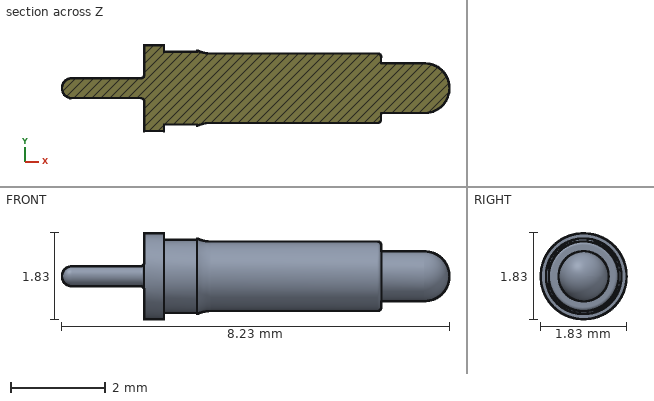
import cadquery as cq
import math


total_length = 8.23

tail_length = 1.75
tail_radius = 0.43 / 2
tail_root_fillet = 0.076

flange_radius = 1.83 / 2
flange_thickness = 0.42

neck_radius = 1.56 / 2
neck_length = 0.70

barb_radius = 1.61 / 2
barb_length = 0.29

barrel_radius = 1.48 / 2
barrel_end_round = 0.076

plunger_radius = 1.066 / 2
plunger_exposed_length = 1.45

flange_start = tail_length
flange_end = flange_start + flange_thickness
barb_start = flange_end + neck_length
barb_end = barb_start + barb_length
barrel_end = total_length - plunger_exposed_length
plunger_tip_start = total_length - plunger_radius

barb_height = barb_radius - barrel_radius
barb_arc_radius = (barb_length**2 + barb_height**2) / (2 * barb_height)


def arc_point(center, radius, angle):
    """Point on a circle at an angle in degrees from +X."""
    radians = math.radians(angle)
    return (center[0] + radius * math.cos(radians), center[1] + radius * math.sin(radians))


def half_profile():
    """Closed outline from the axis to the outer surface, in the XY plane."""
    tail_tip_center = (tail_radius, 0)
    root_center = (flange_start - tail_root_fillet, tail_radius + tail_root_fillet)
    barb_center = (barb_end, barrel_radius + barb_arc_radius)
    barb_mid_angle = -90 - math.degrees(math.asin(barb_length / barb_arc_radius)) / 2
    end_round_center = (barrel_end - barrel_end_round, barrel_radius - barrel_end_round)
    plunger_tip_center = (plunger_tip_start, 0)

    return (
        cq.Workplane("XY")
        .moveTo(0, 0)
        .threePointArc(arc_point(tail_tip_center, tail_radius, 135), (tail_radius, tail_radius))
        .lineTo(root_center[0], tail_radius)
        .threePointArc(arc_point(root_center, tail_root_fillet, -45), (flange_start, root_center[1]))
        .lineTo(flange_start, flange_radius)
        .lineTo(flange_end, flange_radius)
        .lineTo(flange_end, neck_radius)
        .lineTo(barb_start, neck_radius)
        .lineTo(barb_start, barb_radius)
        .threePointArc(arc_point(barb_center, barb_arc_radius, barb_mid_angle), (barb_end, barrel_radius))
        .lineTo(end_round_center[0], barrel_radius)
        .threePointArc(arc_point(end_round_center, barrel_end_round, 45), (barrel_end, end_round_center[1]))
        .lineTo(barrel_end, plunger_radius)
        .lineTo(plunger_tip_start, plunger_radius)
        .threePointArc(arc_point(plunger_tip_center, plunger_radius, 45), (total_length, 0))
        .close()
    )


result = half_profile().revolve(360, (0, 0, 0), (1, 0, 0))